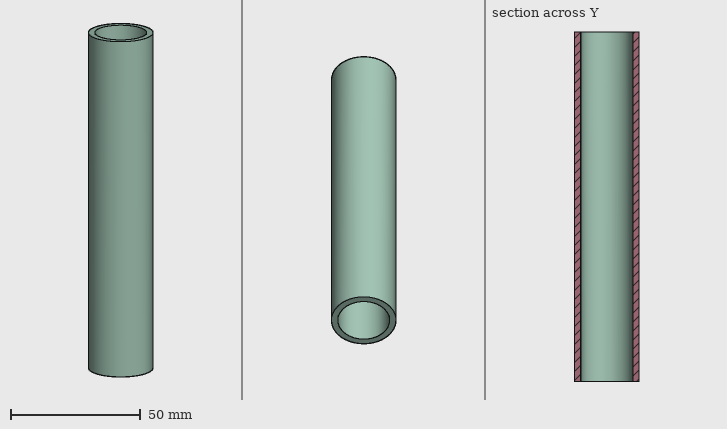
import cadquery as cq

length = 135.0
outer_diameter = 25.0
inner_diameter = 20.0

result = (
    cq.Workplane("XY")
    .circle(outer_diameter / 2)
    .circle(inner_diameter / 2)
    .extrude(length)
)